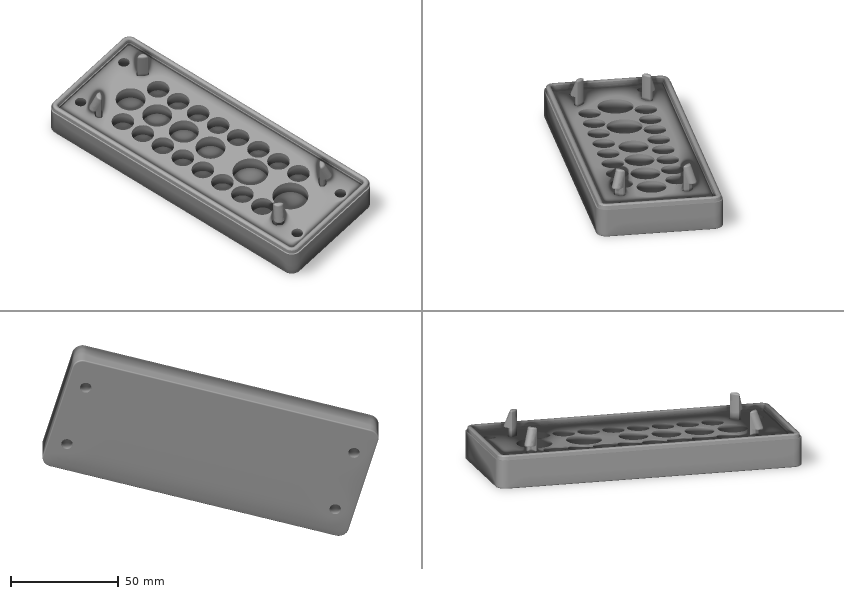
import cadquery as cq
import math

length = 148.0
width = 60.0
corner_radius = 4.9
frame_height = 13.6
bottom_fillet = 0.6
wall_thickness = 3.8
deck_thickness = 5.9

bead_inset = 0.6
bead_wall_height = 1.6
bead_crown_rise = 0.6
bead_width = 2.8
bead_draft = 0.3
bead_crown_height = frame_height + bead_wall_height
bead_top = bead_crown_height + bead_crown_rise

opening_depth = 6.5
pad_top = deck_thickness + opening_depth
small_diameter = 10.5
small_pitch = 12.0
small_count = 8
small_inner_count = 5
small_inner_y = 13.0
small_outer_y = 13.3
medium_diameter = 13.9
medium_pitch = 16.0
medium_count = 4
large_diameter = 16.7
large_pitch = 24.0
large_count = 2

screw_diameter = 5.3
screw_x = 65.0
screw_y = 16.0

pin_x = 53.3
pin_y = 15.5
pin_top = 25.0
pin_width = 4.9
pin_inner_bulge = 0.5
neck_depth = 2.4
neck_chamfer = 1.0
neck_clearance = 0.5
hook_bottom = 16.6
hook_lip_height = 0.5
hook_reach = 5.3
hook_slope = 0.43
pin_top_fillet = 0.9

hook_height = pin_top - hook_bottom
nose_height = hook_height - hook_lip_height


def rounded_block(inset, bottom, top):
    """Upright block that follows the frame's outline, moved inwards by inset."""
    return (
        cq.Workplane("XY", origin=(0, 0, bottom))
        .rect(length - 2 * inset, width - 2 * inset)
        .extrude(top - bottom)
        .edges("|Z")
        .fillet(corner_radius - inset)
    )


def neck_outline(height):
    """Pin neck outline: bulged inner face and two chamfered outer corners."""
    half = pin_width / 2
    return (
        cq.Workplane("XY", origin=(0, 0, height))
        .moveTo(0, -half)
        .lineTo(neck_depth - neck_chamfer, -half)
        .lineTo(neck_depth, neck_chamfer - half)
        .lineTo(neck_depth, half - neck_chamfer)
        .lineTo(neck_depth - neck_chamfer, half)
        .lineTo(0, half)
        .threePointArc((-pin_inner_bulge, 0), (0, -half))
        .close()
    )


def nose_outline(height):
    """Hook outline with straight sides and a half-round nose."""
    half = pin_width / 2
    return (
        cq.Workplane("XY", origin=(0, 0, height))
        .moveTo(-pin_inner_bulge, -half)
        .lineTo(hook_reach - half, -half)
        .threePointArc((hook_reach, 0), (hook_reach - half, half))
        .lineTo(-pin_inner_bulge, half)
        .close()
    )


def make_hook():
    """Upright lip below a nose that leans inwards, with the bulged inner face of the neck."""
    half = pin_width / 2
    lip_top = hook_bottom + hook_lip_height
    lip = nose_outline(hook_bottom).extrude(hook_lip_height)
    nose_wire = nose_outline(lip_top).wires().val()
    lean = cq.Vector(-hook_slope * nose_height, 0, nose_height)
    nose = cq.Workplane(cq.Solid.extrudeLinear(nose_wire, [], lean))
    envelope = (
        cq.Workplane("XY", origin=(0, 0, hook_bottom))
        .moveTo(0, -half)
        .lineTo(hook_reach, -half)
        .lineTo(hook_reach, half)
        .lineTo(0, half)
        .threePointArc((-pin_inner_bulge, 0), (0, -half))
        .close()
        .extrude(hook_height)
    )
    return envelope.intersect(lip.union(nose)).faces(">Z").edges().fillet(pin_top_fillet)


def at_pins(shape):
    """Copies of a shape at the four pin places, each turned to point outwards."""
    copies = []
    for side_x in (-1, 1):
        for side_y in (-1, 1):
            angle = math.degrees(math.atan2(side_y, side_x))
            turned = shape.rotate((0, 0, 0), (0, 0, 1), angle)
            copies.append(turned.translate((side_x * pin_x, side_y * pin_y, 0)))
    return copies


def screw_holes():
    places = [(x, y) for x in (-screw_x, screw_x) for y in (-screw_y, screw_y)]
    return cq.Workplane("XY").pushPoints(places).circle(screw_diameter / 2).extrude(bead_top)


def cable_openings():
    """Two rows of small openings and a middle row of medium and large ones."""
    small_places = []
    for i in range(small_count):
        x = (i - (small_count - 1) / 2) * small_pitch
        y = small_inner_y if i < small_inner_count else small_outer_y
        small_places += [(x, -y), (x, y)]
    medium_places = [(-i * medium_pitch, 0) for i in range(medium_count)]
    large_places = [((i + 1) * large_pitch, 0) for i in range(large_count)]
    deck = cq.Workplane("XY", origin=(0, 0, deck_thickness))
    return (
        deck.pushPoints(small_places).circle(small_diameter / 2).extrude(opening_depth)
        .add(deck.pushPoints(medium_places).circle(medium_diameter / 2).extrude(opening_depth))
        .add(deck.pushPoints(large_places).circle(large_diameter / 2).extrude(opening_depth))
    )


def make_frame():
    block = rounded_block(0, 0, frame_height).faces("<Z").edges().fillet(bottom_fillet)
    frame = block.cut(rounded_block(wall_thickness, deck_thickness, frame_height)).cut(screw_holes())
    pin = neck_outline(deck_thickness).extrude(hook_bottom - deck_thickness).union(make_hook())
    for placed_pin in at_pins(pin):
        frame = frame.union(placed_pin)
    return frame


def make_pad():
    pad = rounded_block(wall_thickness, deck_thickness, pad_top).cut(screw_holes())
    for opening in cable_openings().vals():
        pad = pad.cut(cq.Workplane(opening))
    slot = neck_outline(deck_thickness).offset2D(neck_clearance).extrude(opening_depth)
    for placed_slot in at_pins(slot):
        pad = pad.cut(placed_slot)
    return pad


def make_bead():
    """Drafted and crowned bead section swept round the frame outline."""
    outer_y = bead_inset - width / 2
    inner_y = outer_y + bead_width
    section = (
        cq.Workplane("YZ")
        .moveTo(outer_y, frame_height)
        .lineTo(outer_y + bead_draft, bead_crown_height)
        .threePointArc(
            ((outer_y + inner_y) / 2, bead_top),
            (inner_y - bead_draft, bead_crown_height),
        )
        .lineTo(inner_y, frame_height)
        .close()
    )
    path = rounded_block(bead_inset, frame_height, bead_top).faces("<Z").wires()
    return section.sweep(path)


frame = make_frame()
pad = make_pad()
bead = make_bead()

result = cq.Compound.makeCompound([frame.solids().val(), pad.solids().val(), bead.val()])